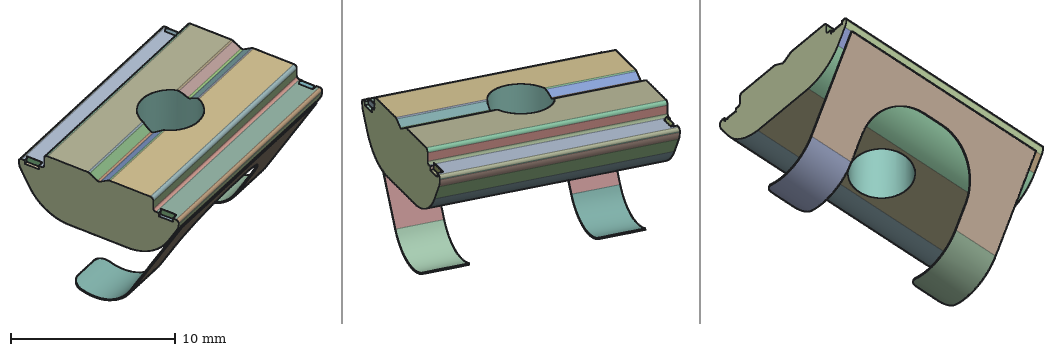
import cadquery as cq
import math

length = 16.0
width = 11.6
half_width = width / 2
body_height = 4.58
step_half_width = 3.97
ledge_depth = 1.0
step_edge_radius = 0.24
step_root_radius = 0.18
ledge_edge_radius = 0.2
flank_angle = math.radians(60)
shoulder_depth = 1.25
shoulder_radius = 1.05
belly_radius = 3.4
belly_end_angle = math.radians(4)

groove_half_width = 0.74
groove_angle = math.radians(30)
groove_edge_radius = 0.27
groove_root_radius = 0.2
hole_diameter = 4.1

stake_width = 1.02
stake_x = 4.86
stake_depth = 0.25
stake_length = 0.24
burr_size = 0.18

total_height = 9.8
spring_thickness = 0.1
spring_width = 14.98
window_width = 8.48
window_radius = 3.52
window_straight = 1.9
curl_outer_radius = 3.1
curl_end_angle = math.radians(33)
tip_corner_radius = 0.75

sin_flank = math.sin(flank_angle)
cos_flank = math.cos(flank_angle)
flank_top_x = half_width - shoulder_radius * (1 - sin_flank)
flank_top_z = -shoulder_depth - shoulder_radius * cos_flank
belly_top_z = -body_height + belly_radius * (math.cos(belly_end_angle) - cos_flank)


def flank_x(z):
    """X of the inclined flank plane at height z."""
    return flank_top_x - (flank_top_z - z) / math.tan(flank_angle)


def arc_point(center, radius, angle):
    """Point on a circle, with the angle measured from straight down toward +X."""
    return (center[0] + radius * math.sin(angle), center[1] - radius * math.cos(angle))


def extrude_along_y(profile, depth):
    """Extrude an XZ profile symmetrically about y = 0."""
    return profile.extrude(depth / 2, both=True)


def fillet_y_edges(solid, x, z, radius):
    """Round the long edges at +x and -x at height z."""
    reach = 0.02
    for edge_x in {x, -x}:
        low = (edge_x - reach, -length, z - reach)
        high = (edge_x + reach, length, z + reach)
        solid = solid.edges(cq.selectors.BoxSelector(low, high)).fillet(radius)
    return solid


def make_body():
    belly_center = (
        flank_x(belly_top_z) - belly_radius * sin_flank,
        belly_top_z + belly_radius * cos_flank,
    )
    shoulder_center = (half_width - shoulder_radius, -shoulder_depth)
    belly_middle = arc_point(belly_center, belly_radius, (belly_end_angle + flank_angle) / 2)
    shoulder_middle = arc_point(shoulder_center, shoulder_radius, (flank_angle + math.pi / 2) / 2)
    groove_depth = groove_half_width * math.tan(groove_angle)
    half_profile = (
        cq.Workplane("XZ")
        .moveTo(0, -body_height)
        .lineTo(*arc_point(belly_center, belly_radius, belly_end_angle))
        .threePointArc(belly_middle, (flank_x(belly_top_z), belly_top_z))
        .lineTo(flank_top_x, flank_top_z)
        .threePointArc(shoulder_middle, (half_width, -shoulder_depth))
        .lineTo(half_width, -ledge_depth)
        .lineTo(step_half_width, -ledge_depth)
        .lineTo(step_half_width, 0)
        .lineTo(groove_half_width, 0)
        .lineTo(0, -groove_depth)
        .close()
    )
    half = extrude_along_y(half_profile, length)
    body = half.union(half.mirror("YZ")).clean()
    body = fillet_y_edges(body, half_width, -ledge_depth, ledge_edge_radius)
    body = fillet_y_edges(body, step_half_width, -ledge_depth, step_root_radius)
    body = fillet_y_edges(body, step_half_width, 0, step_edge_radius)
    body = fillet_y_edges(body, groove_half_width, 0, groove_edge_radius)
    body = fillet_y_edges(body, 0, -groove_depth, groove_root_radius)
    hole = cq.Workplane("XY").circle(hole_diameter / 2).extrude(-body_height)
    return body.cut(hole)


def add_stakes(body):
    """Notch both ledges at each end, with a triangular lip behind each notch."""
    wall_y = length / 2 - stake_length
    for x in (-stake_x, stake_x):
        for end in (-1, 1):
            notch = (
                cq.Workplane("XY", origin=(x, end * (wall_y + stake_length / 2), -ledge_depth))
                .rect(stake_width, stake_length)
                .extrude(-stake_depth)
            )
            lip = (
                cq.Workplane("YZ", origin=(x, 0, -ledge_depth))
                .moveTo(end * wall_y, -stake_depth)
                .lineTo(end * wall_y, burr_size)
                .lineTo(end * (wall_y - burr_size), 0)
                .lineTo(end * (wall_y - burr_size), -stake_depth)
                .close()
                .extrude(stake_width / 2, both=True)
            )
            body = body.cut(notch).union(lip)
    return body


def make_spring():
    """Strip lying on the flank, curled under the body and split into two legs."""
    curl_inner_radius = curl_outer_radius - spring_thickness
    center_z = curl_outer_radius - total_height
    bend_z = center_z - curl_inner_radius * cos_flank
    curl_center = (flank_x(bend_z) - curl_inner_radius * sin_flank, center_z)
    middle_angle = (flank_angle - curl_end_angle) / 2
    outer_top = (
        flank_top_x + spring_thickness * sin_flank,
        flank_top_z - spring_thickness * cos_flank,
    )
    inner_tip = arc_point(curl_center, curl_inner_radius, -curl_end_angle)
    outer_tip = arc_point(curl_center, curl_outer_radius, -curl_end_angle)
    profile = (
        cq.Workplane("XZ")
        .moveTo(flank_top_x, flank_top_z)
        .lineTo(flank_x(bend_z), bend_z)
        .threePointArc(arc_point(curl_center, curl_inner_radius, middle_angle), inner_tip)
        .lineTo(*outer_tip)
        .threePointArc(
            arc_point(curl_center, curl_outer_radius, middle_angle),
            arc_point(curl_center, curl_outer_radius, flank_angle),
        )
        .lineTo(*outer_top)
        .close()
    )
    spring = extrude_along_y(profile, spring_width)

    gap_top = bend_z + window_straight * sin_flank
    gap = cq.Workplane("XY").box(2 * length, window_width, length, centered=(True, True, False))
    spring = spring.cut(gap.translate((0, 0, gap_top - length)))

    flank_plane = cq.Plane(
        origin=(flank_x(bend_z), 0, bend_z),
        xDir=(0, 1, 0),
        normal=(sin_flank, 0, -cos_flank),
    )
    window_height = window_straight + window_radius
    window = (
        cq.Workplane(flank_plane)
        .rect(window_width, 2 * window_height)
        .extrude(2 * spring_thickness, both=True)
        .edges(cq.selectors.ParallelDirSelector(flank_plane.zDir))
        .fillet(window_radius)
    )
    spring = spring.cut(window)

    reach = 0.02
    low = (min(inner_tip[0], outer_tip[0]) - reach, -length, outer_tip[1] - reach)
    high = (max(inner_tip[0], outer_tip[0]) + reach, length, inner_tip[1] + reach)
    across = cq.selectors.ParallelDirSelector(cq.Vector(0, 1, 0))
    tip_edges = cq.selectors.BoxSelector(low, high) - across
    return spring.edges(tip_edges).fillet(tip_corner_radius)


result = add_stakes(make_body()).union(make_spring())